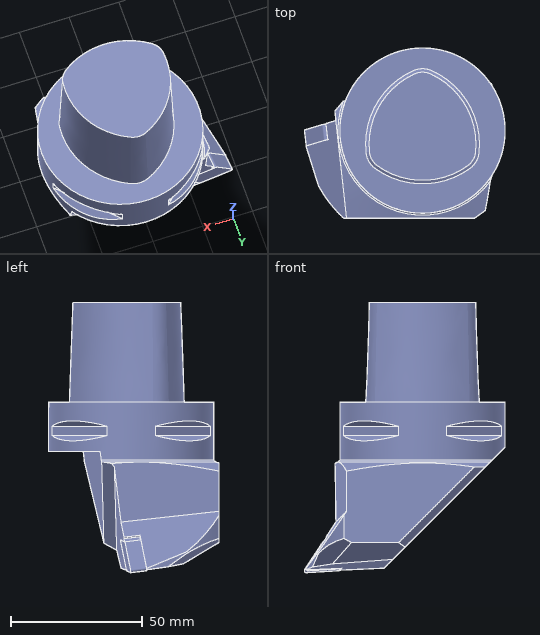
import cadquery as cq
import math


shank_height = 38.0
shank_taper = 2.0
lobe_reach = 23.6
lobe_radius = 8.5
flat_reach = 20.3

flange_radius = 63.0 / 2
flange_bottom = -18.8
neck_bottom = -22.0
shoulder_radius = 32.2
shoulder_top = -22.8
shoulder_slope = 0.29
head_reach = 61.8
head_bottom = -65.9

groove_count = 4
groove_z = -10.9
groove_floor_radius = 27.8
groove_floor_height = 3.5
groove_flare = 2.1

front_y = -33.5
side_x_at_front = -28.9
side_lean = 0.11
slant_offset = 48.6
bevel_width = 4.2
bevel_depth = 3.0
nose_outline = [(-45.0, -4.1), (-39.7, -21.1), (-35.6, -27.3), (-30.0, front_y)]
heel_z = -53.5
heel_slope = 0.6
heel_corner_x = -27.1
heel_ridge_run = (-7.1, 13.4)
nose_bevel_edge = (-2.8, 0, 1.5)

flute_corner = (-30.9, 10.3, -23.0)
flute_wall_normal = (-1.2, 1.2, -1)

tip = cq.Vector(-45.8, 0, -65.1)
rake_x = 0.118
rake_z = 0.122
back_shift = 4.2
side_edge_slope = 1.52
end_edge_slope = 0.06
end_clearance = 0.12
bottom_setback = 0.4

insert_edge = 14.3
insert_thickness = 6.2
insert_nose_radius = 0.8
relief_length = 2.3
relief_depth = 1.0

half_space_size = 309.0


def half_space(point, outward):
    """Block that fills the side of a plane towards which outward points."""
    return cq.Workplane(cq.Plane(point, normal=outward)).rect(
        half_space_size, half_space_size
    ).extrude(half_space_size)


def polar(radius, angle):
    return (radius * math.cos(math.radians(angle)), radius * math.sin(math.radians(angle)))


def along_rake(slope):
    """Unit vector in the rake plane whose projection on XZ has the given slope."""
    return cq.Vector(1, rake_x + rake_z * slope, slope).normalized()


rake_normal = cq.Vector(-rake_x, 1, -rake_z).normalized()
side_edge = along_rake(side_edge_slope)
end_edge = along_rake(end_edge_slope)
side_flank_normal = side_edge.cross(rake_normal)
insert_plane = cq.Plane(tip, xDir=side_edge, normal=rake_normal)


def make_shank():
    lobe_centre = lobe_reach - lobe_radius
    gap = flat_reach - lobe_radius
    large_centre = (lobe_centre**2 - gap**2) / (2 * gap - lobe_centre)
    lobe_x, lobe_y = polar(lobe_centre, -30)
    joint_angle = math.degrees(math.atan2(lobe_y - large_centre, lobe_x)) + 90
    joint_x = lobe_x + lobe_radius * math.sin(math.radians(joint_angle))
    joint_y = lobe_y - lobe_radius * math.cos(math.radians(joint_angle))
    joint_radius = math.hypot(joint_x, joint_y)
    joint_offset = math.degrees(math.atan2(joint_y, joint_x)) + 90
    outline = cq.Workplane("XY").moveTo(*polar(joint_radius, -90 - joint_offset))
    for flat_angle in (-90, 30, 150):
        outline = outline.threePointArc(
            polar(flat_reach, flat_angle), polar(joint_radius, flat_angle + joint_offset)
        )
        outline = outline.threePointArc(
            polar(lobe_reach, flat_angle + 60),
            polar(joint_radius, flat_angle + 120 - joint_offset),
        )
    return outline.close().extrude(shank_height, taper=shank_taper)


def make_turned_blank():
    """Flange, neck and a cone-topped blank for the head."""
    rim_z = shoulder_top - shoulder_slope * (head_reach - shoulder_radius)
    return (
        cq.Workplane("XZ")
        .moveTo(0, 0)
        .lineTo(flange_radius, 0)
        .lineTo(flange_radius, neck_bottom)
        .lineTo(shoulder_radius, shoulder_top)
        .lineTo(head_reach, rim_z)
        .lineTo(head_reach, head_bottom)
        .lineTo(0, head_bottom)
        .close()
        .revolve(360, (0, 0), (0, 1))
    )


def make_head_envelope():
    """Plan outline of the head, with the rounded nose on the -X side."""
    start, arc_start, arc_middle, arc_end = nose_outline
    return (
        cq.Workplane("XY")
        .workplane(offset=head_bottom)
        .moveTo(start[0], head_reach)
        .lineTo(*start)
        .lineTo(*arc_start)
        .threePointArc(arc_middle, arc_end)
        .lineTo(head_reach, front_y)
        .lineTo(head_reach, head_reach)
        .close()
        .extrude(-head_bottom)
    )


def cut_upper_side(body):
    """Cut the -X side back to the upper side face and, below it, the side flank."""
    beyond_side = half_space((side_x_at_front, front_y, 0), (-1, -side_lean, 0))
    above_flank = half_space(tip, side_flank_normal)
    return body.cut(above_flank.intersect(beyond_side))


def cut_slanted_side(body):
    body = body.cut(half_space((slant_offset, 0, 0), (1, 0, -1)))
    bevel_normal = (bevel_depth, -bevel_width, -bevel_depth)
    return body.cut(half_space((slant_offset - bevel_width, front_y, 0), bevel_normal))


def cut_bottom(body):
    bottom_point = tip + cq.Vector(0, 0, bottom_setback)
    body = body.cut(half_space(bottom_point, (end_edge_slope, -end_clearance, -1)))
    heel_point = cq.Vector(heel_corner_x, front_y, heel_z)
    body = body.cut(half_space(heel_point, (0, -heel_slope, -1)))
    ridge_x, ridge_y = heel_ridge_run
    ridge = cq.Vector(ridge_x, ridge_y, -ridge_y * heel_slope)
    bevel_normal = cq.Vector(nose_bevel_edge).cross(ridge)
    return body.cut(half_space(heel_point, bevel_normal))


def cut_back_and_flute(body):
    """Remove the +Y side below the flange, and the chip flute above the rake plane."""
    below_flange = half_space((0, 0, flange_bottom), (0, 0, -1))
    back = half_space(tip + cq.Vector(0, back_shift, 0), rake_normal)
    body = body.cut(back.intersect(below_flange))
    beyond_wall = half_space(flute_corner, flute_wall_normal)
    return body.cut(half_space(tip, rake_normal).intersect(beyond_wall).intersect(below_flange))


def cut_grooves(body):
    half_floor = groove_floor_height / 2
    groove_outer_radius = flange_radius + groove_flare
    half_mouth = half_floor + groove_flare
    groove = (
        cq.Workplane("XZ")
        .polyline([
            (groove_floor_radius, groove_z - half_floor),
            (flange_radius, groove_z - half_mouth),
            (groove_outer_radius, groove_z - half_mouth),
            (groove_outer_radius, groove_z + half_mouth),
            (flange_radius, groove_z + half_mouth),
            (groove_floor_radius, groove_z + half_floor),
        ])
        .close()
        .extrude(flange_radius, both=True)
    )
    for index in range(groove_count):
        angle = (index + 0.5) * 360 / groove_count
        body = body.cut(groove.rotate((0, 0, 0), (0, 0, 1), angle))
    return body


def insert_prism():
    """Rhombic prism below the rake plane, with sharp corners."""
    corners = [tip, tip + side_edge * insert_edge]
    corners.append(corners[1] + end_edge * insert_edge)
    corners.append(tip + end_edge * insert_edge)
    outline = [insert_plane.toLocalCoords(corner).toTuple()[:2] for corner in corners]
    return cq.Workplane(insert_plane).polyline(outline).close().extrude(-insert_thickness)


def make_insert():
    return insert_prism().edges(cq.selectors.ParallelDirSelector(rake_normal)).fillet(insert_nose_radius)


def cut_pocket(body):
    """Seat of the insert, with a relief beyond the far end of its side edge."""
    relief = (
        cq.Workplane(insert_plane)
        .center(insert_edge, 0)
        .rect(2 * relief_length, 2 * relief_depth)
        .extrude(-insert_thickness)
    )
    return body.cut(insert_prism()).cut(relief)


def make_holder():
    blank = make_turned_blank()
    above_shoulder = half_space((0, 0, neck_bottom), (0, 0, 1))
    flange = cut_grooves(blank.intersect(above_shoulder))
    head = blank.cut(above_shoulder).intersect(make_head_envelope())
    head = cut_upper_side(head)
    head = cut_bottom(head)
    body = cut_slanted_side(flange.union(head))
    body = cut_back_and_flute(body)
    body = cut_pocket(body)
    return body.union(make_shank())


holder = make_holder()
insert = make_insert()
result = cq.Compound.makeCompound([holder.val(), insert.val()])